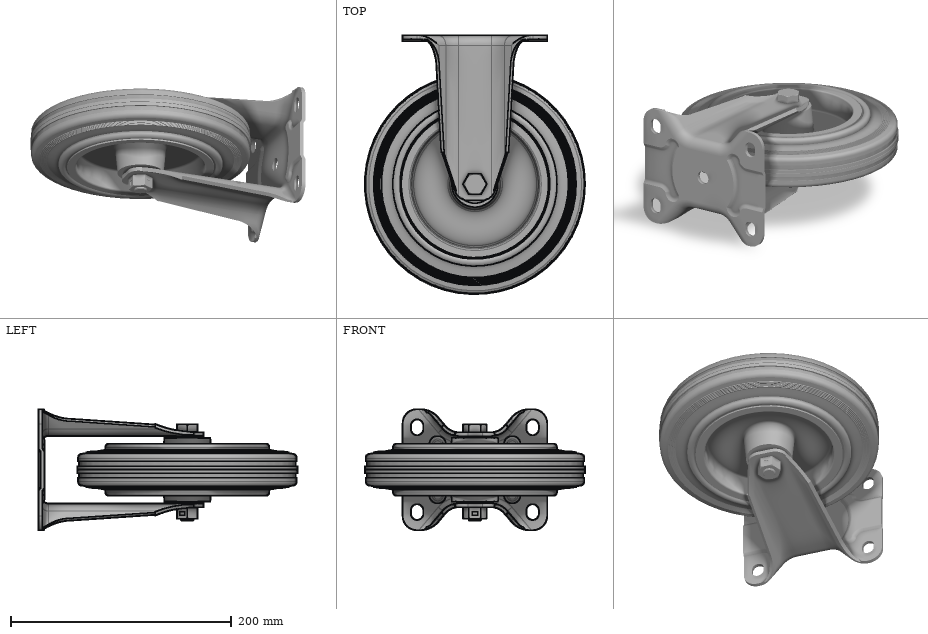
import cadquery as cq
import math


overall_length = 235
tyre_radius = 200.0 / 2
tread_radius = 98.5
shoulder_radius = tyre_radius - 0.7
centre_rib_half_width = 3.3
centre_slit_half_width = 0.2
shoulder_rib_inner_z = 7.5
shoulder_rib_outer_z = 10.5
shoulder_end = (96.5, 14.3)
bead_radius = 3.5
bead_centre = (71.0, 20.2)
bead_inner_z = 22.0
side_wall_inner_z = 18.0
ring_count = 5
ring_pitch = 1.5
ring_outer_radius = 92.0
ring_height = 0.7

rim_radius = 66.7
rim_half_width = 23.5
rim_mouth_radius = 58.8
rim_floor_radius = 57.3
rim_mouth_round = 1.5
web_half_thickness = 4.0
web_round = 1.6
hub_half_length = 29.0
hub_tip_radius = 21.0
hub_base_radius = 23.3
hub_bore_radius = 14.0

bearing_radius = 17.5
bearing_length = 11.0
sleeve_radius = 10.0

sheet = 3.5
fork_inner_z = 30.5
fork_outer_z = fork_inner_z + sheet
plate_back_y = overall_length - tyre_radius
plate_front_y = plate_back_y - sheet
plate_width = 131.4
plate_height = 110.0
plate_corner_radius = 13.2
leg_flat_half_width = 29.8 / 2
leg_bend_radius = 15.3
flange_angle = 50
plate_bend_inner_radius = 5.5
plate_bend_outer_radius = plate_bend_inner_radius + sheet
tip_y = -14.8
tip_half_width = leg_flat_half_width
tip_corner_radius = 12.0
taper_top_y = 29.0
taper_top_half_width = 30.5

flange_edge_low = (49.4, taper_top_y)
flange_edge_high = (56.2, 105.5)
flange_edge_flare = (60.0, 120.3)
flange_edge_plate = (69.8, plate_front_y)

taper_angle = flange_angle / 2
taper_edge_top = (43.2, taper_top_y)
taper_edge_middle = (35.2, 10.0)
taper_edge_tip = (29.8, -5.9)

ear_shoulder_length = 10.3

slot_width = 11.0
slot_length = 14.0
slot_spacing_x = 104.8
slot_spacing_z = 76.8
centre_hole_diameter = 12.0

emboss_height = 2.0
emboss_slope = 58
emboss_edge_z = 19.3
emboss_bend_x = 48.2
emboss_knob_centre = (33.8, 23.0)
emboss_knob_radius = 7.5
emboss_waist_x = 33.8
emboss_round = 2.8

bolt_radius = 11.5 / 2
hex_flats = 18.8
head_height = 7.3
hex_corner_bevel = 0.5
nut_height = 10.5
bolt_end_z = -46.3
bolt_end_chamfer = 0.7
nut_mark_count = 3
nut_mark_width = 5.2
nut_mark_height = 3.5
nut_mark_depth = 0.5
nut_mark_z = -39.7

oversize = 141
margin = 2.4
tolerance = 0.02


def side_wall_z(radius):
    """Height of the plain conical side wall at a given radius."""
    bead_outer = bead_centre[0] + bead_radius
    slope = (side_wall_inner_z - shoulder_end[1]) / (shoulder_end[0] - bead_outer)
    return shoulder_end[1] + slope * (shoulder_end[0] - radius)


def make_tyre():
    bead_x, bead_z = bead_centre
    bead_inner_x = bead_x - math.sqrt(bead_radius**2 - (bead_inner_z - bead_z) ** 2)
    profile = (
        cq.Workplane("XZ")
        .moveTo(rim_radius, 0)
        .lineTo(shoulder_radius, 0)
        .lineTo(shoulder_radius, centre_slit_half_width)
        .lineTo(tyre_radius, centre_slit_half_width)
        .lineTo(tyre_radius, centre_rib_half_width)
        .lineTo(tread_radius, centre_rib_half_width)
        .lineTo(tread_radius, shoulder_rib_inner_z)
        .lineTo(shoulder_radius, shoulder_rib_inner_z)
        .lineTo(shoulder_radius, shoulder_rib_outer_z)
        .tangentArcPoint(shoulder_end, relative=False)
        .lineTo(ring_outer_radius, side_wall_z(ring_outer_radius))
    )
    for ring in range(ring_count):
        ring_outer = ring_outer_radius - ring * ring_pitch
        ring_inner = ring_outer - ring_pitch
        profile = (
            profile
            .lineTo(ring_outer, side_wall_z(ring_outer) + ring_height)
            .lineTo(ring_inner, side_wall_z(ring_inner))
        )
    half = (
        profile
        .lineTo(bead_x + bead_radius, side_wall_inner_z)
        .lineTo(bead_x + bead_radius, bead_z)
        .threePointArc((bead_x, bead_z + bead_radius), (bead_inner_x, bead_inner_z))
        .lineTo(rim_radius, bead_inner_z)
        .close()
        .revolve(360, (0, 0, 0), (0, 1, 0))
    )
    return half.union(half.mirror("XY"))


def make_rim():
    half = (
        cq.Workplane("XZ")
        .moveTo(hub_bore_radius, 0)
        .lineTo(rim_radius, 0)
        .lineTo(rim_radius, rim_half_width)
        .lineTo(rim_mouth_radius, rim_half_width)
        .lineTo(rim_floor_radius, web_half_thickness)
        .lineTo(hub_base_radius, web_half_thickness)
        .lineTo(hub_tip_radius, hub_half_length)
        .lineTo(bearing_radius, hub_half_length)
        .lineTo(bearing_radius, hub_half_length - bearing_length)
        .lineTo(hub_bore_radius, hub_half_length - bearing_length)
        .close()
        .revolve(360, (0, 0, 0), (0, 1, 0))
    )

    web_corners = [
        edge for edge in half.edges("%CIRCLE").vals()
        if abs(edge.Center().z - web_half_thickness) < tolerance
    ]
    mouth_edges = [
        edge for edge in half.edges("%CIRCLE").vals()
        if abs(edge.Center().z - rim_half_width) < tolerance and edge.radius() < rim_radius - margin
    ]
    half = half.newObject(web_corners).fillet(web_round)
    half = half.newObject(mouth_edges).fillet(rim_mouth_round)
    return half.union(half.mirror("XY"))


def make_bearing(side):
    """Bearing flush with one end of the hub; side is +1 for the upper end and -1 for the lower."""
    return (
        cq.Workplane("XY")
        .workplane(offset=side * hub_half_length)
        .circle(bearing_radius)
        .circle(sleeve_radius)
        .extrude(-side * bearing_length)
    )


def make_sleeve():
    return (
        cq.Workplane("XY")
        .circle(sleeve_radius)
        .circle(bolt_radius)
        .extrude(fork_inner_z, both=True)
    )


def fork_block(face_z, bend_radius, back_y, plate_bend_radius):
    """Solid filling the hourglass section up to one face of the sheet."""
    angle = math.radians(flange_angle)
    half_angle = angle / 2
    mid = (
        leg_flat_half_width + bend_radius * math.sin(half_angle),
        face_z + bend_radius * (1 - math.cos(half_angle)),
    )
    end = (
        leg_flat_half_width + bend_radius * math.sin(angle),
        face_z + bend_radius * (1 - math.cos(angle)),
    )
    far = (oversize, end[1] + (oversize - end[0]) * math.tan(angle))
    quarter = (
        cq.Workplane("XZ", origin=(0, back_y, 0))
        .lineTo(0, face_z)
        .lineTo(leg_flat_half_width, face_z)
        .threePointArc(mid, end)
        .lineTo(*far)
        .lineTo(oversize, 0)
        .close()
        .extrude(back_y + oversize)
    )
    half = quarter.union(quarter.mirror("YZ"))
    block = half.union(half.mirror("XY")).clean()
    rolled_edges = [
        edge for edge in block.faces(">Y").edges().vals()
        if abs(edge.Center().x) < oversize - margin
    ]
    return block.newObject(rolled_edges).fillet(plate_bend_radius)


def tilted_plane(degrees):
    """Plane through the Y axis, its local x rising at the given angle above +X."""
    angle = math.radians(degrees)
    return cq.Plane(
        origin=(0, 0, 0),
        xDir=(math.cos(angle), 0, math.sin(angle)),
        normal=(-math.sin(angle), 0, math.cos(angle)),
    )


def flange_trim():
    """Material removed beyond the free edge of one flange, square to the sheet."""
    return (
        cq.Workplane(tilted_plane(flange_angle))
        .moveTo(oversize, taper_top_y)
        .lineTo(*flange_edge_low)
        .lineTo(*flange_edge_high)
        .threePointArc(flange_edge_flare, flange_edge_plate)
        .lineTo(oversize, plate_front_y)
        .close()
        .extrude(oversize)
    )


def taper_trim():
    """Material removed beside the tapered end of one leg edge."""
    return (
        cq.Workplane(tilted_plane(taper_angle))
        .moveTo(*taper_edge_top)
        .threePointArc(taper_edge_middle, taper_edge_tip)
        .lineTo(oversize, taper_edge_tip[1])
        .lineTo(oversize, taper_top_y)
        .close()
        .extrude(oversize)
    )


def shoulder_trim():
    """Material removed outside the round between one plate ear and its flange."""
    angle = math.radians(flange_angle)
    ear_z = plate_height / 2
    flange_foot_x = leg_flat_half_width + leg_bend_radius * math.sin(angle)
    flange_foot_z = fork_outer_z + leg_bend_radius * (1 - math.cos(angle))
    corner_x = flange_foot_x + (ear_z - flange_foot_z) / math.tan(angle)
    ear_x = corner_x + ear_shoulder_length
    flange_point = (
        corner_x - ear_shoulder_length * math.cos(angle),
        ear_z - ear_shoulder_length * math.sin(angle),
    )
    return (
        cq.Workplane("XZ", origin=(0, plate_back_y, 0))
        .moveTo(ear_x + margin, ear_z)
        .lineTo(ear_x, ear_z)
        .tangentArcPoint(flange_point, relative=False)
        .lineTo(flange_point[0], oversize)
        .lineTo(ear_x + margin, oversize)
        .close()
        .extrude(plate_back_y)
    )


def fork_outline():
    """Outline of the legs and plate seen along the axle."""
    legs = (
        cq.Workplane("XY")
        .moveTo(-tip_half_width, tip_y)
        .lineTo(tip_half_width, tip_y)
        .lineTo(taper_top_half_width, taper_top_y)
        .lineTo(oversize, taper_top_y)
        .lineTo(oversize, plate_back_y)
        .lineTo(-oversize, plate_back_y)
        .lineTo(-oversize, taper_top_y)
        .lineTo(-taper_top_half_width, taper_top_y)
        .close()
        .extrude(oversize, both=True)
    )
    return legs.edges("|Z").edges("<Y").fillet(tip_corner_radius)


def plate_outline():
    return (
        cq.Workplane("XZ", origin=(0, plate_back_y, 0))
        .rect(plate_width, plate_height)
        .extrude(plate_back_y + oversize)
        .edges("|Y")
        .fillet(plate_corner_radius)
    )


def emboss(base_y):
    """Raised side panel of the plate with a round knob at each inner corner."""
    knob_x, knob_z = emboss_knob_centre
    inner_x = knob_x - emboss_knob_radius
    outer_x = knob_x + emboss_knob_radius
    bend_run = emboss_bend_x - outer_x
    bend_rise = knob_z - emboss_edge_z
    bend_radius = (bend_run**2 + bend_rise**2) / (2 * bend_rise)
    half_turn = math.atan2(bend_rise, bend_run)
    bend_mid_x = emboss_bend_x - bend_radius * math.sin(half_turn)
    bend_mid_z = emboss_edge_z + bend_radius * (1 - math.cos(half_turn))
    return (
        cq.Workplane("XZ", origin=(0, base_y, 0))
        .moveTo(oversize, emboss_edge_z)
        .lineTo(emboss_bend_x, emboss_edge_z)
        .threePointArc((bend_mid_x, bend_mid_z), (outer_x, knob_z))
        .threePointArc((knob_x, knob_z + emboss_knob_radius), (inner_x, knob_z))
        .threePointArc((emboss_waist_x, 0), (inner_x, -knob_z))
        .threePointArc((knob_x, -knob_z - emboss_knob_radius), (outer_x, -knob_z))
        .threePointArc((bend_mid_x, -bend_mid_z), (emboss_bend_x, -emboss_edge_z))
        .lineTo(oversize, -emboss_edge_z)
        .close()
        .extrude(emboss_height, taper=emboss_slope)
        .faces("<Y")
        .edges()
        .fillet(emboss_round)
    )


def make_fork():
    outside = fork_block(fork_outer_z, leg_bend_radius, plate_back_y, plate_bend_outer_radius)
    inside = fork_block(fork_inner_z, leg_bend_radius + sheet, plate_front_y, plate_bend_inner_radius)
    panel = plate_outline()
    fork = outside.cut(inside).intersect(panel).intersect(fork_outline())

    for trim in (flange_trim(), taper_trim(), shoulder_trim()):
        trim_pair = trim.union(trim.mirror("YZ"))
        fork = fork.cut(trim_pair).cut(trim_pair.mirror("XY"))

    raised = emboss(plate_front_y)
    raised_pair = raised.union(raised.mirror("YZ")).intersect(panel)
    fork = fork.union(raised_pair)
    fork = fork.cut(raised_pair.translate((0, sheet, 0)))

    slots = (
        cq.Workplane("XZ", origin=(0, plate_back_y, 0))
        .rect(slot_spacing_x, slot_spacing_z, forConstruction=True)
        .vertices()
        .slot2D(slot_length, slot_width, 90)
        .extrude(sheet)
    )
    centre_hole = (
        cq.Workplane("XZ", origin=(0, plate_back_y, 0))
        .circle(centre_hole_diameter / 2)
        .extrude(sheet)
    )
    axle_hole = cq.Workplane("XY").circle(bolt_radius).extrude(fork_outer_z, both=True)
    return fork.cut(slots).cut(centre_hole).cut(axle_hole)


def hexagon(height):
    """Upright hexagon on z = 0, corners towards +X and -X, with the upper corners bevelled."""
    across_corners = hex_flats * 2 / math.sqrt(3)
    round_blank = (
        cq.Workplane("XY")
        .circle(across_corners / 2)
        .extrude(height)
        .faces(">Z")
        .chamfer(hex_corner_bevel, (across_corners - hex_flats) / 2)
    )
    return cq.Workplane("XY").polygon(6, across_corners).extrude(height).intersect(round_blank)


def make_bolt():
    head = hexagon(head_height).translate((0, 0, fork_outer_z))
    shank = (
        cq.Workplane("XY")
        .workplane(offset=bolt_end_z)
        .circle(bolt_radius)
        .extrude(fork_outer_z - bolt_end_z)
        .faces("<Z")
        .chamfer(bolt_end_chamfer)
    )
    return head.union(shank)


def make_nut():
    nut = hexagon(nut_height).mirror("XY").translate((0, 0, -fork_outer_z))
    nut = nut.cut(cq.Workplane("XY").circle(bolt_radius).extrude(-oversize))
    mark = cq.Workplane("XY").box(nut_mark_width, 2 * nut_mark_depth, nut_mark_height)
    mark = mark.translate((0, -hex_flats / 2, nut_mark_z))
    for turn in range(nut_mark_count):
        nut = nut.cut(mark.rotate((0, 0, 0), (0, 0, 1), 360 / nut_mark_count * turn))
    return nut


tyre = make_tyre()
rim = make_rim()
bearings = [make_bearing(side) for side in (1, -1)]
sleeve = make_sleeve()
fork = make_fork()
bolt = make_bolt()
nut = make_nut()

result = cq.Compound.makeCompound([
    tyre.val(),
    rim.val(),
    *[bearing.val() for bearing in bearings],
    sleeve.val(),
    fork.val(),
    bolt.val(),
    nut.val(),
])